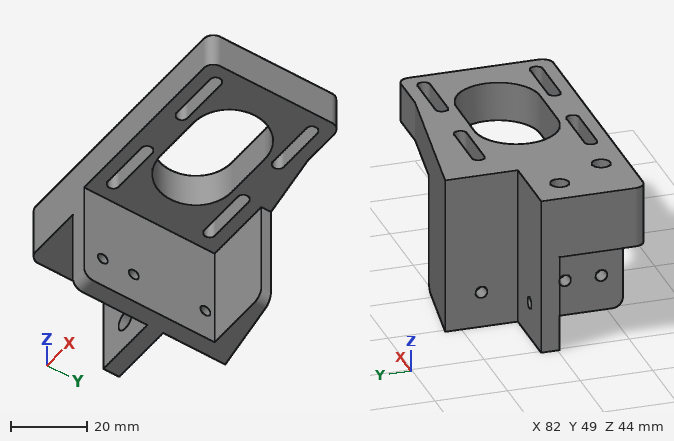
import cadquery as cq

length = 82.0
depth = 49.0
height = 44.0
corner_radius = 3.0

plate_thickness = 11.0
right_depth = 42.0
slope_end_x = 67.0

block_thickness = 17.0
block_depth = 29.0
wall_thickness = 5.1
web_x = 19.85
web_right_x = web_x + wall_thickness
left_wall_y = block_depth - wall_thickness
back_wall_right_x = 46.0
back_wall_y = right_depth

window_center = (53.5, 21.0)
window_length = 38.0
window_width = 23.0
slot_length = 18.5
slot_width = 3.45
slot_spacing_x = 31.0
slot_spacing_y = 31.0

block_hole_diameter = 5.0
block_hole_centers = [(9.0, 21.0), (17.0, 7.0)]
wall_hole_diameter = 3.2
wall_hole_z = 10.0
left_wall_hole_x = web_x / 2
counterbore_diameter = 6.1
counterbore_depth = 3.0
web_hole_ys = [6.0, 16.0, (block_depth + depth) / 2]


def box_between(low, high):
    """Box spanning two opposite corner points."""
    size = [end - start for start, end in zip(low, high)]
    return cq.Workplane("XY").box(*size, centered=False).translate(low)


def footprint(bottom_z):
    """Full plan outline of the part, extruded from bottom_z to the top."""
    outline = [
        (0, 0),
        (length, 0),
        (length, right_depth),
        (slope_end_x, right_depth),
        (web_x, depth),
        (web_x, block_depth),
        (0, block_depth),
    ]
    return (
        cq.Workplane("XY")
        .workplane(offset=bottom_z)
        .polyline(outline)
        .close()
        .extrude(height - bottom_z)
    )


def make_plate():
    plate = footprint(height - plate_thickness)
    plate = plate.edges("|Z and >X").fillet(corner_radius)
    return plate.edges("|Z and <X and <Y").fillet(corner_radius)


def make_block():
    block = box_between((0, 0, height - block_thickness), (web_right_x, block_depth, height))
    return block.edges("|Z and <X and <Y").fillet(corner_radius)


def make_web():
    """Upright wall across the depth, rounded at its lower front edge."""
    web = box_between((web_x, 0, 0), (web_right_x, depth, height))
    return web.edges("|X and <Y and <Z").fillet(corner_radius)


def make_left_wall():
    return box_between((0, left_wall_y, 0), (web_x, block_depth, height))


def make_back_wall():
    """Wall along the sloping back edge, rounded at its lower right edge."""
    wall = box_between((web_x, back_wall_y, 0), (back_wall_right_x, depth, height))
    return wall.edges("|Y and >X and <Z").fillet(corner_radius)


def make_plate_openings():
    """Central window with a slot near each of its corners."""
    plane = cq.Workplane("XY").center(*window_center)
    window = plane.slot2D(window_length, window_width).extrude(height)
    slots = (
        plane.rarray(slot_spacing_x, slot_spacing_y, 2, 2)
        .slot2D(slot_length, slot_width)
        .extrude(height)
    )
    return window.union(slots)


def make_block_holes():
    return (
        cq.Workplane("XY")
        .pushPoints(block_hole_centers)
        .circle(block_hole_diameter / 2)
        .extrude(height)
    )


def make_left_wall_hole():
    """Through hole along Y, counterbored from the front of the left wall."""
    front = cq.Workplane("XZ", origin=(left_wall_hole_x, left_wall_y, wall_hole_z))
    hole = front.circle(wall_hole_diameter / 2).extrude(-wall_thickness)
    counterbore = front.circle(counterbore_diameter / 2).extrude(-counterbore_depth)
    return hole.union(counterbore)


def make_web_holes():
    centers = [(y, wall_hole_z) for y in web_hole_ys]
    return (
        cq.Workplane("YZ", origin=(web_x, 0, 0))
        .pushPoints(centers)
        .circle(wall_hole_diameter / 2)
        .extrude(wall_thickness)
    )


walls = make_web().union(make_left_wall()).union(make_back_wall())
walls = walls.intersect(footprint(0))

result = (
    make_plate()
    .union(make_block())
    .union(walls)
    .cut(make_plate_openings())
    .cut(make_block_holes())
    .cut(make_left_wall_hole())
    .cut(make_web_holes())
)